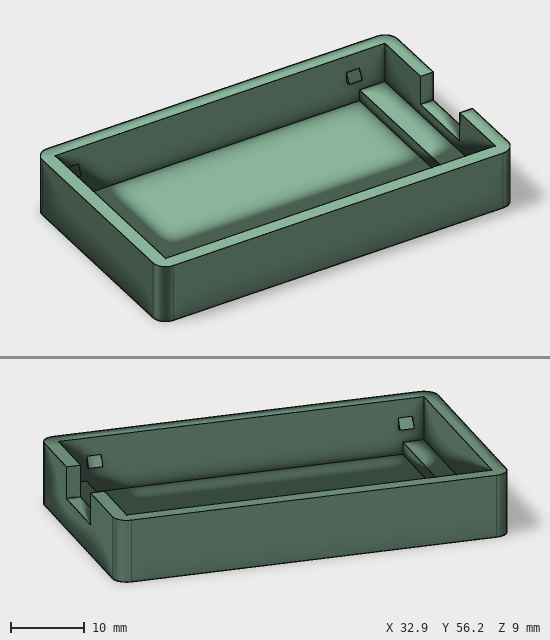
import cadquery as cq

length = 56.2
width = 32.9
height = 9.0
wall = 2.0
floor = 1.0
corner_radius = wall

ledge_height = 1.75
back_ledge_depth = 4.0
front_ledge_depth = 3.0

notch_width = 10.25
notch_depth = 4.6

clip_length = 2.0
clip_reach = 0.75
clip_height = 1.5
clip_drop = 2.65
back_clip_y = 21.0
front_clip_y = -23.45

inner_width = width - 2 * wall
inner_length = length - 2 * wall


def make_tray():
    outer = cq.Workplane("XY").box(width, length, height, centered=(True, True, False))
    outer = outer.edges("|Z").fillet(corner_radius)
    cavity = (
        cq.Workplane("XY")
        .workplane(offset=floor)
        .rect(inner_width, inner_length)
        .extrude(height - floor)
    )
    return outer.cut(cavity)


def make_ledge(depth, side):
    """Full-width step against the end wall on the given Y side (+1 back, -1 front)."""
    return (
        cq.Workplane("XY")
        .workplane(offset=floor)
        .center(0, side * (inner_length - depth) / 2)
        .rect(inner_width, depth)
        .extrude(ledge_height)
    )


def make_clip(side, center_y):
    """Wedge on one side wall: sloping face above, flat catch below."""
    wall_x = side * inner_width / 2
    top_z = height - clip_drop
    bottom_z = top_z - clip_height
    return (
        cq.Workplane("XZ", origin=(0, center_y, 0))
        .moveTo(wall_x, top_z)
        .lineTo(wall_x, bottom_z)
        .lineTo(wall_x - side * clip_reach, bottom_z)
        .close()
        .extrude(clip_length / 2, both=True)
    )


def make_notch():
    return (
        cq.Workplane("XY")
        .workplane(offset=height - notch_depth)
        .center(0, (length - wall) / 2)
        .rect(notch_width, wall)
        .extrude(notch_depth)
    )


result = make_tray()
result = result.union(make_ledge(back_ledge_depth, 1))
result = result.union(make_ledge(front_ledge_depth, -1))
for clip_side in (-1, 1):
    for clip_y in (back_clip_y, front_clip_y):
        result = result.union(make_clip(clip_side, clip_y))
result = result.cut(make_notch())